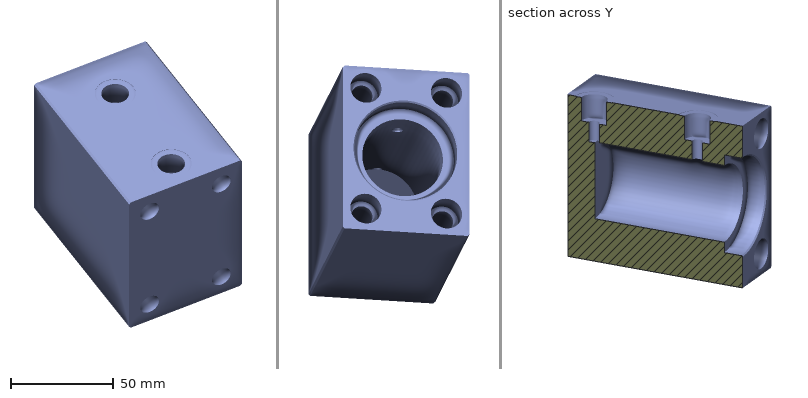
import cadquery as cq
import math

length = 96.0
width = 63.0
height = 85.0
edge_chamfer = 1.0

bore_diameter = 40.0
bore_depth = 80.8
seat_diameter = 51.0
seat_depth = 10.0
seat_chamfer = 0.7

bolt_diameter = 10.5
head_diameter = 15.5
head_depth = 11.0
bolt_spacing_y = 40.0
bolt_spacing_z = 63.0

port_positions_x = (25.0, 81.5)
port_face_diameter = 20.0
port_face_depth = 0.2
port_thread_diameter = 13.5
port_thread_depth = 12.5
port_channel_diameter = 5.5
port_channel_depth = height / 2 - math.sqrt(bore_diameter**2 - port_channel_diameter**2) / 2


def cylinder_x(diameter, depth, y=0, z=0):
    """Cylinder running from the -X face into the block."""
    return cq.Workplane("YZ").center(y, z).circle(diameter / 2).extrude(depth)


def cylinder_down(diameter, depth, x):
    """Cylinder running down from the top face on the centre line."""
    top = cq.Workplane("XY", origin=(x, 0, height / 2))
    return top.circle(diameter / 2).extrude(-depth)


def cylinder_bore():
    seat = cylinder_x(seat_diameter, seat_depth)
    mouth = (
        cq.Workplane("YZ")
        .circle(seat_diameter / 2 + seat_chamfer)
        .workplane(offset=seat_chamfer)
        .circle(seat_diameter / 2)
        .loft(ruled=True)
    )
    return cylinder_x(bore_diameter, bore_depth).union(seat).union(mouth)


def mounting_hole(y, z):
    head = cylinder_x(head_diameter, head_depth, y, z)
    return cylinder_x(bolt_diameter, length, y, z).union(head)


def port(x):
    face = cylinder_down(port_face_diameter, port_face_depth, x)
    thread = cylinder_down(port_thread_diameter, port_thread_depth, x)
    channel = cylinder_down(port_channel_diameter, port_channel_depth, x)
    return channel.union(thread).union(face)


block = cq.Workplane("XY").box(length, width, height, centered=(False, True, True))
block = block.edges("|X").chamfer(edge_chamfer)

result = block.cut(cylinder_bore())
for side_y in (-1, 1):
    for side_z in (-1, 1):
        result = result.cut(mounting_hole(side_y * bolt_spacing_y / 2, side_z * bolt_spacing_z / 2))
for port_x in port_positions_x:
    result = result.cut(port(port_x))